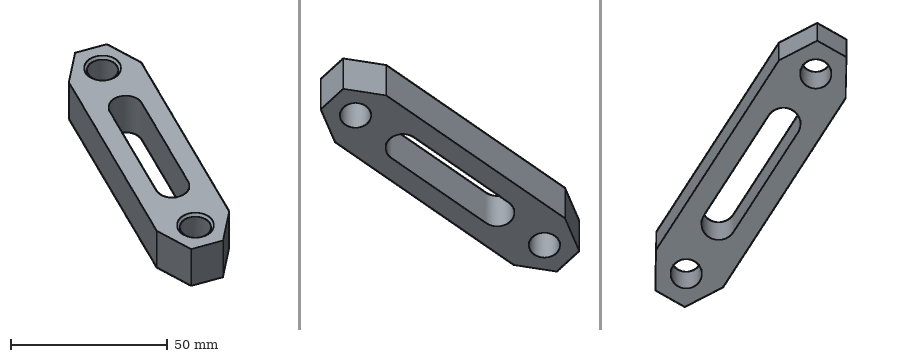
import cadquery as cq
import math

length = 100.0
width = 25.0
height = 16.0

end_width = 11.0
taper_angle = 30.0
taper_depth = (width - end_width) / 2
taper_length = taper_depth / math.tan(math.radians(taper_angle))

slot_length = 51.0
slot_width = 11.0

hole_spacing = 80.0
hole_diameter = 10.0
countersink_diameter = 11.8
countersink_angle = 90.0


def tapered_bar():
    half_length = length / 2
    half_width = width / 2
    half_end = end_width / 2
    shoulder = half_length - taper_length
    outline = [
        (-half_length, -half_end),
        (-shoulder, -half_width),
        (shoulder, -half_width),
        (half_length, -half_end),
        (half_length, half_end),
        (shoulder, half_width),
        (-shoulder, half_width),
        (-half_length, half_end),
    ]
    return cq.Workplane("XY").polyline(outline).close().extrude(height)


def slot_cutter():
    return cq.Workplane("XY").slot2D(slot_length, slot_width).extrude(height)


def add_end_holes(body):
    return (
        body.faces(">Z")
        .workplane(origin=(0, 0, height))
        .pushPoints([(-hole_spacing / 2, 0), (hole_spacing / 2, 0)])
        .cskHole(hole_diameter, countersink_diameter, countersink_angle)
    )


result = add_end_holes(tapered_bar().cut(slot_cutter()))